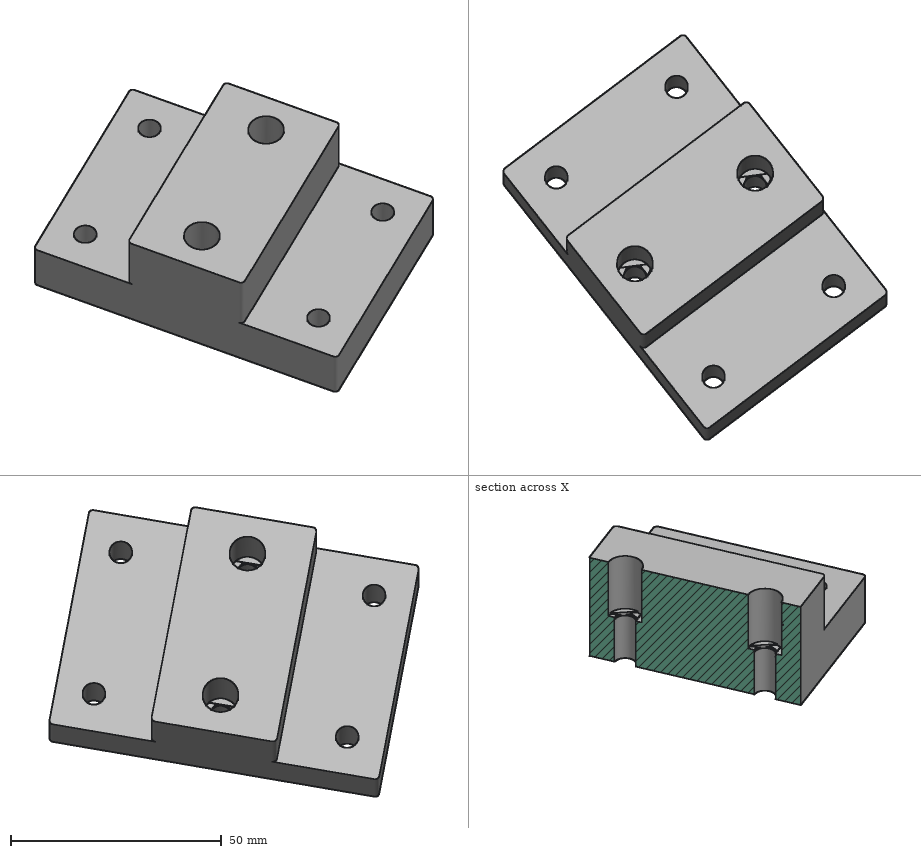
import cadquery as cq
import math

plate_length = 79.5
plate_width = 54.5
plate_height = 13.0

block_length = 30.2
total_height = 28.0
block_height = total_height - plate_height

corner_radius = 1.0

hole_diameter = 5.4
plate_hole_spacing_x = 61.05
hole_spacing_y = 36.0
plate_hole_x = plate_hole_spacing_x / 2
hole_y = hole_spacing_y / 2

counterbore_diameter = 8.5
counterbore_depth = block_height
layer_depth = 0.3
layer_side_counts = (3, 6, 12)


def rounded_block(length, height, base_z):
    """Full-width box with rounded vertical edges, its bottom at base_z."""
    return (
        cq.Workplane("XY", origin=(0, 0, base_z))
        .rect(length, plate_width)
        .extrude(height)
        .edges("|Z")
        .fillet(corner_radius)
    )


def cylinder(x, y, diameter, base_z, height):
    """Upright cylinder with its bottom at base_z."""
    return cq.Workplane("XY", origin=(x, y, base_z)).circle(diameter / 2).extrude(height)


def polygon_layer(x, y, side_count, base_z):
    """Regular polygon around the through hole, tangent to it, one side facing -Y."""
    side_angle = 2 * math.pi / side_count
    circumradius = hole_diameter / 2 / math.cos(side_angle / 2)
    first_corner_angle = -math.pi / 2 + side_angle / 2
    corner_angles = [first_corner_angle + i * side_angle for i in range(side_count)]
    corners = [
        (circumradius * math.cos(angle), circumradius * math.sin(angle))
        for angle in corner_angles
    ]
    prism = (
        cq.Workplane("XY", origin=(x, y, base_z))
        .polyline(corners)
        .close()
        .extrude(layer_depth)
    )
    return prism.intersect(cylinder(x, y, counterbore_diameter, base_z, layer_depth))


def stepped_counterbore(x, y):
    """Counterbore from the block top with the polygonal layers below its floor."""
    floor_z = total_height - counterbore_depth
    cutter = cylinder(x, y, counterbore_diameter, floor_z, counterbore_depth)
    for layer_number, side_count in enumerate(layer_side_counts, start=1):
        base_z = floor_z - layer_number * layer_depth
        cutter = cutter.union(polygon_layer(x, y, side_count, base_z))
    return cutter


plate = rounded_block(plate_length, plate_height, 0)
block = rounded_block(block_length, block_height, plate_height)
result = plate.union(block)

for y in (-hole_y, hole_y):
    for x in (-plate_hole_x, 0, plate_hole_x):
        result = result.cut(cylinder(x, y, hole_diameter, 0, total_height))
    result = result.cut(stepped_counterbore(0, y))